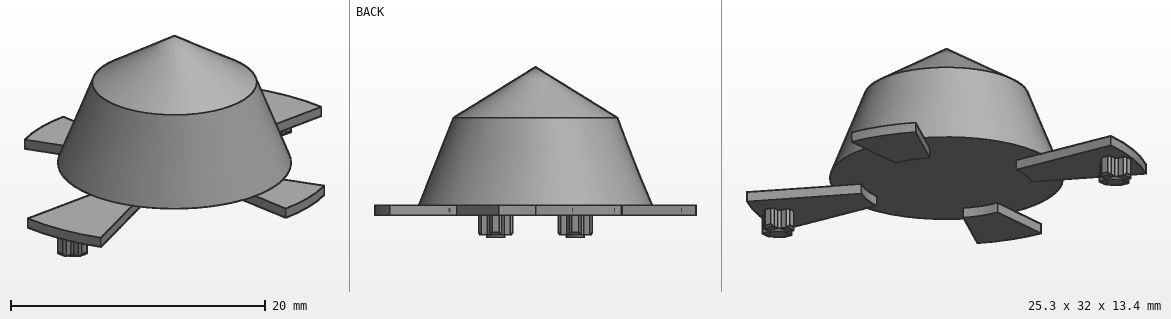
import cadquery as cq
import math

base_radius = 9.2
rim_radius = 6.45
rim_height = 6.88
tip_height = 10.88

wing_thickness = 0.8
wing_inner_radius = 6.8
long_wing_radius = 16.0
short_wing_radius = 12.65
wing_angle = 25.0

stud_distance = 14.45
stud_height = 1.55
arm_count = 4
arm_length = 1.35
arm_width = 0.95
corner_chamfer = 0.2
bevel_height = 0.2
bevel_depth = 0.13
core_radius = 0.7
core_projection = 0.2


def polar(radius, degrees):
    angle = math.radians(degrees)
    return (radius * math.cos(angle), radius * math.sin(angle))


def make_dome():
    profile = [(0, 0), (base_radius, 0), (rim_radius, rim_height), (0, tip_height)]
    return cq.Workplane("XZ").polyline(profile).close().revolve(360, (0, 0), (0, 1))


def make_wing(outer_radius, start_angle):
    middle = start_angle + wing_angle / 2
    end = start_angle + wing_angle
    return (
        cq.Workplane("XY")
        .moveTo(*polar(wing_inner_radius, start_angle))
        .lineTo(*polar(outer_radius, start_angle))
        .threePointArc(polar(outer_radius, middle), polar(outer_radius, end))
        .lineTo(*polar(wing_inner_radius, end))
        .threePointArc(polar(wing_inner_radius, middle), polar(wing_inner_radius, start_angle))
        .close()
        .extrude(-wing_thickness)
    )


def make_stud():
    """Cross-shaped stud pointing down from Z = 0, with a round core at its end."""
    half_width = arm_width / 2
    cross = (
        cq.Workplane("XY")
        .rect(2 * arm_length, arm_width)
        .extrude(-stud_height)
        .union(cq.Workplane("XY").rect(arm_width, 2 * arm_length).extrude(-stud_height))
    )
    cross = cross.edges("|Z").chamfer(corner_chamfer)

    bevel_profile = [
        (arm_length, -stud_height),
        (arm_length - bevel_depth, -stud_height),
        (arm_length, -stud_height + bevel_height),
    ]
    bevel = cq.Workplane("XZ").polyline(bevel_profile).close().extrude(half_width, both=True)
    for arm in range(arm_count):
        cross = cross.cut(bevel.rotate((0, 0, 0), (0, 0, 1), arm * 360 / arm_count))

    core = cq.Workplane("XY").circle(core_radius).extrude(-stud_height - core_projection)
    return cross.union(core)


result = make_dome()
for short_start in (0, 180):
    result = result.union(make_wing(short_wing_radius, short_start))

stud_shape = make_stud()
for long_start in (90, 270):
    result = result.union(make_wing(long_wing_radius, long_start))
    stud_x, stud_y = polar(stud_distance, long_start + wing_angle / 2)
    result = result.union(stud_shape.translate((stud_x, stud_y, -wing_thickness)))